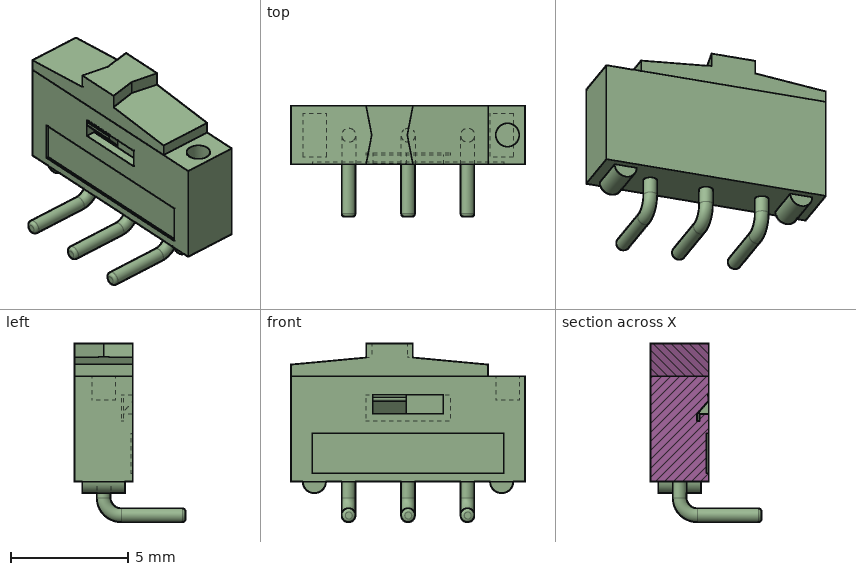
import cadquery as cq


housing_length = 10.0
housing_width = 2.5
housing_height = 4.5
left_end = -housing_length / 2
right_end = housing_length / 2
front_face = -housing_width / 2

label_length = 8.2
label_height = 1.7
label_base = 0.36
label_depth = 0.1

window_length = 3.0
window_height = 0.81
wall_thickness = 0.41
window_top = housing_height - 0.8
window_base = window_top - window_height
cavity_margin = 0.3
cavity_depth = 0.5
cavity_base = window_base - cavity_margin
nub_length = 1.43
nub_flat_top_drop = 0.09
nub_flat_base_drop = 0.21
nub_edge_drop = 0.27
nub_flat_setback = 0.01
nub_edge_setback = 0.025
nub_top_setback = 0.05

hole_diameter = 1.0
hole_depth = 1.0
hole_x = right_end - 0.75

foot_diameter = 1.0
foot_length = 1.84
foot_spacing = 8.0

actuator_length = 8.42
ridge_end_height = 0.5
ridge_grip_height = 0.8
grip_height = 1.4
grip_length = 2.0
grip_notch = 0.24
actuator_x = left_end + actuator_length / 2

pin_count = 3
pin_pitch = 2.54
pin_diameter = 0.6
pin_bend_radius = 0.75
pin_reach = 3.5
pin_drop = 1.44
pin_tip_fillet = 0.15


def front_pocket(length, height, depth, base):
    """Block that cuts a rectangular pocket, centred in X, into the front face."""
    return (
        cq.Workplane("XY")
        .box(length, depth, height, centered=(True, False, False))
        .translate((0, front_face, base))
    )


def make_cavity():
    """Block that cuts the cavity behind the window, wider and lower than the window."""
    return (
        cq.Workplane("XY")
        .box(
            window_length + 2 * cavity_margin,
            cavity_depth - wall_thickness,
            window_top - cavity_base,
            centered=(True, False, False),
        )
        .translate((0, front_face + wall_thickness, cavity_base))
    )


def make_nub():
    """Latch nub on the cavity's back wall: a constant Y-Z profile with a sloping underside."""
    back = front_face + cavity_depth
    return (
        cq.Workplane("YZ", origin=(-window_length / 2, 0, 0))
        .moveTo(back, window_top)
        .lineTo(front_face + nub_top_setback, window_top)
        .lineTo(front_face + nub_flat_setback, window_top - nub_flat_top_drop)
        .lineTo(front_face + nub_flat_setback, window_top - nub_flat_base_drop)
        .lineTo(front_face + nub_edge_setback, window_top - nub_edge_drop)
        .lineTo(back, window_base)
        .close()
        .extrude(nub_length)
    )


def make_foot(x):
    """Half-round foot with its axis along Y, on the housing underside."""
    radius = foot_diameter / 2
    return (
        cq.Workplane("XZ", origin=(x, foot_length / 2, 0))
        .moveTo(-radius, 0)
        .threePointArc((0, -radius), (radius, 0))
        .close()
        .extrude(foot_length)
    )


def make_housing():
    body = cq.Workplane("XY").box(
        housing_length, housing_width, housing_height, centered=(True, True, False)
    )
    body = body.cut(front_pocket(label_length, label_height, label_depth, label_base))
    body = body.cut(front_pocket(window_length, window_height, wall_thickness, window_base))
    body = body.cut(make_cavity())
    body = body.union(make_nub())
    hole = (
        cq.Workplane("XY", origin=(hole_x, 0, housing_height - hole_depth))
        .circle(hole_diameter / 2)
        .extrude(hole_depth)
    )
    body = body.cut(hole)
    for x in (-foot_spacing / 2, foot_spacing / 2):
        body = body.union(make_foot(x))
    return body


def make_actuator():
    """Ridge sloping up to the middle, with a grip whose two ends are V-notched."""
    half_length = actuator_length / 2
    half_grip = grip_length / 2
    slope = (ridge_grip_height - ridge_end_height) / (half_length - half_grip)
    apex_height = ridge_end_height + slope * half_length
    ridge = (
        cq.Workplane("XZ", origin=(actuator_x, housing_width / 2, housing_height))
        .moveTo(-half_length, 0)
        .lineTo(half_length, 0)
        .lineTo(half_length, ridge_end_height)
        .lineTo(0, apex_height)
        .lineTo(-half_length, ridge_end_height)
        .close()
        .extrude(housing_width)
    )
    half_width = housing_width / 2
    half_waist = half_grip - grip_notch
    grip = (
        cq.Workplane("XY", origin=(actuator_x, 0, housing_height))
        .polyline([
            (-half_grip, -half_width),
            (half_grip, -half_width),
            (half_waist, 0),
            (half_grip, half_width),
            (-half_grip, half_width),
            (-half_waist, 0),
        ])
        .close()
        .extrude(grip_height)
    )
    return ridge.union(grip)


def make_pin(x):
    """Round pin running down from the housing, then bent forward with a rounded tip."""
    path = (
        cq.Workplane("YZ", origin=(x, 0, 0))
        .moveTo(0, 0)
        .lineTo(0, pin_bend_radius - pin_drop)
        .radiusArc((-pin_bend_radius, -pin_drop), pin_bend_radius)
        .lineTo(-pin_reach, -pin_drop)
    )
    pin = cq.Workplane("XY", origin=(x, 0, 0)).circle(pin_diameter / 2).sweep(path)
    return pin.faces("<Y").edges().fillet(pin_tip_fillet)


housing = make_housing()
actuator = make_actuator()
pins = []
for index in range(pin_count):
    pin_x = (index - (pin_count - 1) / 2) * pin_pitch
    pins.append(make_pin(pin_x).val())

result = cq.Compound.makeCompound([housing.val(), actuator.val(), *pins])